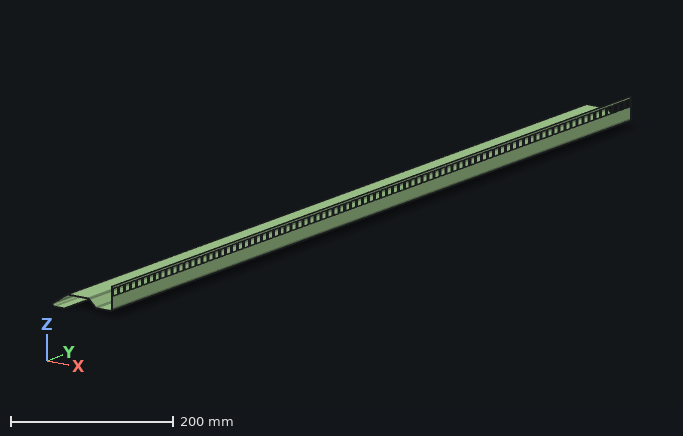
import cadquery as cq
import math

length = 1090
width = 92.0
height = 40.0
thickness = 1.0

half_thickness = thickness / 2
lip_width = 19.0
lip_z = half_thickness
hem_radius = 2.5
bend_radius = 2.7
slope_angle = 33
web_top_z = 20.0
web_z = web_top_z - half_thickness
web_right_x = 56.0
shelf_left_x = 66.0
shelf_z = 9.0
flange_x = width - half_thickness

slope_tilt = math.radians(slope_angle)
hem_centre_x = half_thickness + hem_radius
hem_centre_z = lip_z + hem_radius
slope_low_x = hem_centre_x - hem_radius * math.sin(slope_tilt)
slope_low_z = hem_centre_z + hem_radius * math.cos(slope_tilt)
web_left_x = slope_low_x + (web_z - slope_low_z) / math.tan(slope_tilt)

slot_count = 5
slot_pitch = 200.0
slot_x = 12.0
slot_length = 52.0
slot_width = 19.0
lip_hole_diameter = 7.0
lip_hole_x = 10.0

perforation_count = 87
perforation_size = 9.6
perforation_top_gap = 3.0
first_perforation_y = 7.4
perforation_pitch = (length - 2 * first_perforation_y) / (perforation_count - 1)


def folded_sheet():
    """Sweep the sheet's edge along the rounded fold line, from the lip to the flange."""
    lip_end = cq.Vector(lip_width, 0, lip_z)
    hem_low = cq.Vector(hem_centre_x, 0, lip_z)
    hem_left = cq.Vector(half_thickness, 0, hem_centre_z)
    slope_low = cq.Vector(slope_low_x, 0, slope_low_z)
    folds = [
        (web_left_x, web_z),
        (web_right_x, web_z),
        (shelf_left_x, shelf_z),
        (flange_x, shelf_z),
    ]
    corners = [cq.Vector(x, 0, z) for x, z in folds]
    flange_end = cq.Vector(flange_x, 0, height)

    sharp_line = cq.Wire.makePolygon([slope_low, *corners, flange_end])
    bent_line = sharp_line.fillet(bend_radius, sharp_line.Vertices()[1:-1])
    lip = cq.Edge.makeLine(lip_end, hem_low)
    hem = cq.Edge.makeThreePointArc(hem_low, hem_left, slope_low)
    path = cq.Wire.assembleEdges([lip, hem, *bent_line.Edges()])
    sheet_edge = cq.Workplane("YZ", origin=(lip_width, 0, lip_z)).rect(length, thickness)
    return sheet_edge.sweep(cq.Workplane(path))


def slot_cutters():
    """Round-ended slots, square to the sloping face and short enough to miss the lip."""
    reach = 2 * thickness
    normal = (-math.sin(slope_tilt), 0, math.cos(slope_tilt))
    slot_z = slope_low_z + (slot_x - slope_low_x) * math.tan(slope_tilt)
    face = cq.Plane(origin=(slot_x, 0, slot_z), xDir=(0, 1, 0), normal=normal)
    return (
        cq.Workplane(face)
        .rarray(slot_pitch, 11, slot_count, 1)
        .slot2D(slot_length, slot_width)
        .extrude(reach, both=True)
    )


def lip_hole_cutters():
    """Round holes through the lip, one under the middle of each slot."""
    return (
        cq.Workplane("XY", origin=(lip_hole_x, 0, 0))
        .rarray(11, slot_pitch, 1, slot_count)
        .circle(lip_hole_diameter / 2)
        .extrude(thickness)
    )


def perforation_cutters():
    """Row of square holes through the flange."""
    centre_z = height - perforation_top_gap - perforation_size / 2
    return (
        cq.Workplane("YZ", origin=(width - thickness, 0, centre_z))
        .rarray(perforation_pitch, 11, perforation_count, 1)
        .rect(perforation_size, perforation_size)
        .extrude(thickness)
    )


result = (
    folded_sheet()
    .cut(slot_cutters())
    .cut(lip_hole_cutters())
    .cut(perforation_cutters())
)